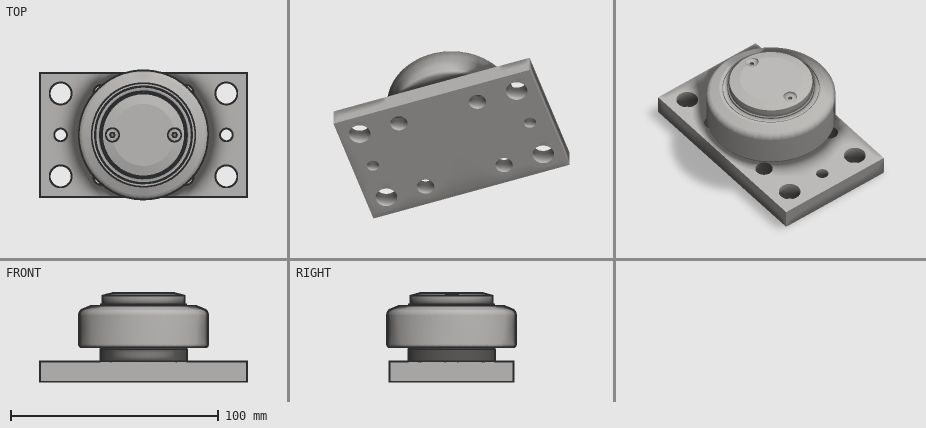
import cadquery as cq
import math

PLATE_LENGTH = 100
PLATE_WIDTH = 60
PLATE_THICKNESS = 10
MOUNT_HOLE_DIAMETER = 10.5
DOWEL_HOLE_DIAMETER = 6
INNER_HOLE_DIAMETER = 8.4
OUTER_HOLE_X = 40
INNER_HOLE_X = 20
HOLE_ROW_Y = 20

TOTAL_HEIGHT = 43
NECK_DIAMETER = 42
NECK_TOP_Z = 15.8
INNER_RING_DIAMETER = 41.5
INNER_RING_TOP_Z = 37.4
CAP_DIAMETER = 40
CAP_FLAT_DIAMETER = 30
CAP_BEVEL_HEIGHT = 1.4

ROLLER_DIAMETER = 62.5
ROLLER_CROWN = 0.1
ROLLER_BOTTOM_Z = 16.7
ROLLER_WIDTH = 20.2
ROLLER_FACE_DIAMETER = 50
ROLLER_BEVEL_ANGLE = 22.5
ROLLER_TOP_FILLET = 3
ROLLER_BOTTOM_FILLET = 1.5

SEAL_BORE_DIAMETER = 42.1
SEAL_OUTER_DIAMETER = 46.4
SEAL_SEAT_DIAMETER = 47
SEAL_GAP_DEPTH = 1

SOCKET_X = 15
RECESS_DIAMETER = 6.5
SOCKET_FLOOR_DIAMETER = 5.3
SOCKET_FLOOR_DEPTH = 1.2
HEX_ACROSS_CORNERS = 2.4
HEX_DEPTH = 1.2

roller_top_z = ROLLER_BOTTOM_Z + ROLLER_WIDTH


def cylinder(diameter, bottom_z, top_z):
    """Upright cylinder on the roller axis."""
    return cq.Workplane("XY", origin=(0, 0, bottom_z)).circle(diameter / 2).extrude(top_z - bottom_z)


def drill_plate(plate, points, diameter):
    """Drill through holes at the given places in the plate."""
    return plate.faces(">Z").workplane(origin=(0, 0, 0)).pushPoints(points).hole(diameter)


def make_plate():
    plate = cq.Workplane("XY").box(
        PLATE_LENGTH, PLATE_WIDTH, PLATE_THICKNESS, centered=(True, True, False)
    )
    corners = [(x, y) for x in (-OUTER_HOLE_X, OUTER_HOLE_X) for y in (-HOLE_ROW_Y, HOLE_ROW_Y)]
    inner = [(x, y) for x in (-INNER_HOLE_X, INNER_HOLE_X) for y in (-HOLE_ROW_Y, HOLE_ROW_Y)]
    dowels = [(-OUTER_HOLE_X, 0), (OUTER_HOLE_X, 0)]
    plate = drill_plate(plate, corners, MOUNT_HOLE_DIAMETER)
    plate = drill_plate(plate, inner, INNER_HOLE_DIAMETER)
    return drill_plate(plate, dowels, DOWEL_HOLE_DIAMETER)


def seal_gap(outer_diameter, inner_diameter):
    """Ring-shaped cutter for one gap beside the seal washer."""
    bottom_z = roller_top_z - SEAL_GAP_DEPTH
    outer = cylinder(outer_diameter, bottom_z, roller_top_z)
    return outer.cut(cylinder(inner_diameter, bottom_z, roller_top_z))


def make_roller():
    """Slightly crowned roller with a conical, rounded upper shoulder and a rounded lower edge."""
    radius = ROLLER_DIAMETER / 2
    rim_radius = radius - ROLLER_CROWN
    face_radius = ROLLER_FACE_DIAMETER / 2
    bevel_drop = (rim_radius - face_radius) * math.tan(math.radians(ROLLER_BEVEL_ANGLE))
    shoulder_z = roller_top_z - bevel_drop
    crown_z = (ROLLER_BOTTOM_Z + shoulder_z) / 2
    roller = (
        cq.Workplane("XZ")
        .moveTo(0, ROLLER_BOTTOM_Z)
        .lineTo(rim_radius, ROLLER_BOTTOM_Z)
        .threePointArc((radius, crown_z), (rim_radius, shoulder_z))
        .lineTo(face_radius, roller_top_z)
        .lineTo(0, roller_top_z)
        .close()
        .revolve(360, (0, 0, 0), (0, 1, 0))
    )
    shoulder_edge = cq.selectors.NearestToPointSelector((0, 0, shoulder_z))
    roller = roller.edges("%CIRCLE").edges(shoulder_edge).fillet(ROLLER_TOP_FILLET)
    roller = roller.faces("<Z").edges().fillet(ROLLER_BOTTOM_FILLET)
    roller = roller.cut(seal_gap(SEAL_SEAT_DIAMETER, SEAL_OUTER_DIAMETER))
    return roller.cut(seal_gap(SEAL_BORE_DIAMETER, INNER_RING_DIAMETER))


def make_core():
    """Neck, inner ring and bevelled cap stacked on the plate."""
    neck = cylinder(NECK_DIAMETER, PLATE_THICKNESS, NECK_TOP_Z)
    inner_ring = cylinder(INNER_RING_DIAMETER, NECK_TOP_Z, INNER_RING_TOP_Z)
    bevel_width = (CAP_DIAMETER - CAP_FLAT_DIAMETER) / 2
    cap = cylinder(CAP_DIAMETER, INNER_RING_TOP_Z, TOTAL_HEIGHT)
    cap = cap.faces(">Z").chamfer(CAP_BEVEL_HEIGHT, bevel_width)
    return neck.union(inner_ring).union(cap)


def socket_cutter(x):
    """Round recess with a rounded floor edge and a hexagon socket in its floor."""
    floor_z = TOTAL_HEIGHT - SOCKET_FLOOR_DEPTH
    floor_fillet = (RECESS_DIAMETER - SOCKET_FLOOR_DIAMETER) / 2
    recess = (
        cq.Workplane("XY", origin=(x, 0, floor_z))
        .circle(RECESS_DIAMETER / 2)
        .extrude(SOCKET_FLOOR_DEPTH)
        .faces("<Z")
        .edges()
        .fillet(floor_fillet)
    )
    hexagon = (
        cq.Workplane("XY", origin=(x, 0, floor_z))
        .polygon(6, HEX_ACROSS_CORNERS)
        .extrude(-HEX_DEPTH)
    )
    return recess.union(hexagon)


result = make_plate().union(make_roller()).union(make_core())
for socket_x in (-SOCKET_X, SOCKET_X):
    result = result.cut(socket_cutter(socket_x))